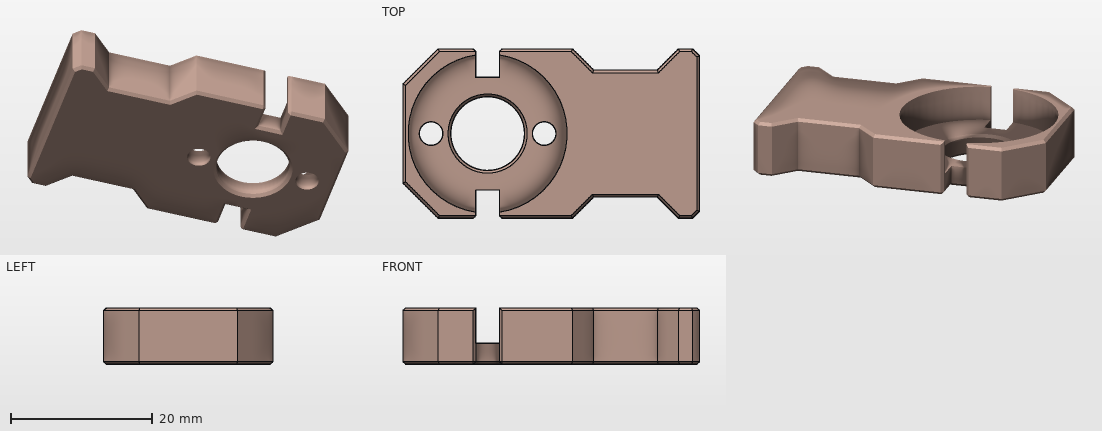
import cadquery as cq

length = 42.0
width = 24.0
height = 8.0
edge_chamfer = 0.4

nose_corner = 5.0
tail_corner = 1.0
waist_depth = 3.0
waist_length = 9.0
tail_flat = 2.0

pocket_diameter = 22.5
pocket_floor = 3.0
bore_diameter = 10.4
screw_hole_diameter = 3.3
screw_hole_offset = 8.0
slot_width = 3.3
slot_inner_y = 8.0

half_width = width / 2
nose_x = -half_width
tail_x = nose_x + length
tail_side_x = tail_x - tail_corner
waist_ramp_end_x = tail_side_x - tail_flat
waist_end_x = waist_ramp_end_x - waist_depth
waist_start_x = waist_end_x - waist_length
waist_ramp_start_x = waist_start_x - waist_depth
waist_y = half_width - waist_depth


def make_plate():
    """Plate with a waisted, symmetric outline, including the side slots."""
    upper_side = [
        (nose_x, half_width - nose_corner),
        (nose_x + nose_corner, half_width),
        (-slot_width / 2, half_width),
        (-slot_width / 2, slot_inner_y),
        (slot_width / 2, slot_inner_y),
        (slot_width / 2, half_width),
        (waist_ramp_start_x, half_width),
        (waist_start_x, waist_y),
        (waist_end_x, waist_y),
        (waist_ramp_end_x, half_width),
        (tail_side_x, half_width),
        (tail_x, half_width - tail_corner),
    ]
    lower_side = [(x, -y) for x, y in reversed(upper_side)]
    return cq.Workplane("XY").polyline(upper_side + lower_side).close().extrude(height)


def is_slot_mouth(edge):
    """True for an upright edge where a slot wall meets the outer side."""
    center = edge.Center()
    return abs(center.x) < slot_width and abs(center.y) > waist_y


def chamfer_rims(plate):
    """Chamfer the bottom rim, the slot mouths and the top rim outside the slots."""
    bottom_rim = plate.faces("<Z").edges()
    top_rim = plate.faces(">Z").edges()
    mouths = plate.edges("|Z").filter(is_slot_mouth)
    outer_top_rim = top_rim.filter(lambda edge: abs(edge.Center().x) > slot_width)
    return bottom_rim.add(outer_top_rim).add(mouths).chamfer(edge_chamfer)


def cut_pocket(plate):
    """Sink the round pocket into the top face."""
    pocket = (
        cq.Workplane("XY", origin=(0, 0, pocket_floor))
        .circle(pocket_diameter / 2)
        .extrude(height - pocket_floor)
    )
    return plate.cut(pocket)


def cut_bore(plate):
    """Central through bore with both rims chamfered."""
    rim_diameter = bore_diameter + 2 * edge_chamfer
    bore = cq.Workplane("XY").circle(bore_diameter / 2).extrude(pocket_floor)
    rim_flare = (
        cq.Workplane("XY")
        .circle(rim_diameter / 2)
        .workplane(offset=edge_chamfer)
        .circle(bore_diameter / 2)
        .loft()
    )
    upper_flare = rim_flare.mirror("XY").translate((0, 0, pocket_floor))
    return plate.cut(bore).cut(rim_flare).cut(upper_flare)


def cut_screw_holes(plate):
    """Two through holes, one on each side of the bore along X."""
    holes = (
        cq.Workplane("XY")
        .pushPoints([(-screw_hole_offset, 0), (screw_hole_offset, 0)])
        .circle(screw_hole_diameter / 2)
        .extrude(pocket_floor)
    )
    return plate.cut(holes)


plate = chamfer_rims(make_plate())
result = cut_screw_holes(cut_bore(cut_pocket(plate)))